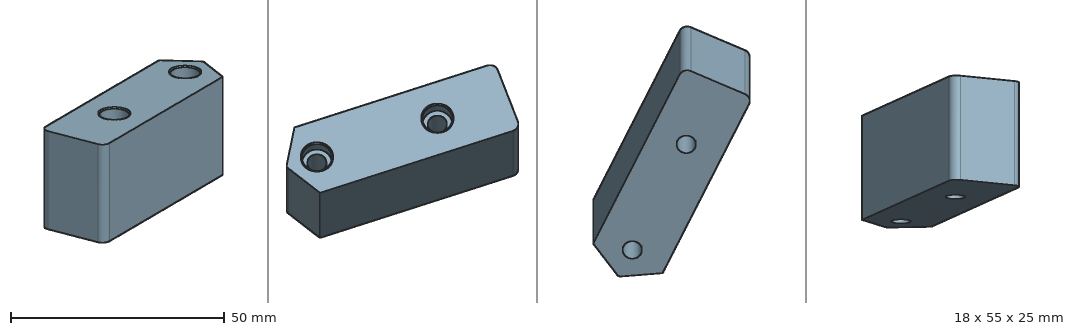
import cadquery as cq
import math

width = 18.0
length = 55.0
height = 25.0
corner_radius = 2.0

slope_angle = 30.0
tip_radius = 1.0

hole_diameter = 4.5
counterbore_diameter = 7.0
mouth_diameter = 7.65
counterbore_depth = 3.35
mouth_chamfer = (mouth_diameter - counterbore_diameter) / 2
hole_count = 2
hole_pitch = 30.0
first_hole_from_tip = 7.5

half_width = width / 2
front_y = -length / 2
tip_y = length / 2
slope = math.radians(slope_angle)

apex_y = tip_y + tip_radius * (1 / math.cos(slope) - 1)
shoulder_y = apex_y - half_width * math.tan(slope)


def make_block():
    block = (
        cq.Workplane("XY")
        .moveTo(-half_width, front_y)
        .lineTo(half_width, front_y)
        .lineTo(half_width, shoulder_y)
        .lineTo(0, apex_y)
        .lineTo(-half_width, shoulder_y)
        .close()
        .extrude(height)
    )
    block = block.faces("<Y").edges("|Z").fillet(corner_radius)
    return block.edges("|Z").edges(">Y").fillet(tip_radius)


def make_screw_hole(y):
    """Revolved cutter: through hole, counterbore and chamfered mouth."""
    hole_radius = hole_diameter / 2
    bore_radius = counterbore_diameter / 2
    return (
        cq.Workplane("XZ")
        .lineTo(hole_radius, 0)
        .lineTo(hole_radius, height - counterbore_depth)
        .lineTo(bore_radius, height - counterbore_depth)
        .lineTo(bore_radius, height - mouth_chamfer)
        .lineTo(mouth_diameter / 2, height)
        .lineTo(0, height)
        .close()
        .revolve(360, (0, 0), (0, 1))
        .translate((0, y, 0))
    )


result = make_block()
for index in range(hole_count):
    hole_y = tip_y - first_hole_from_tip - index * hole_pitch
    result = result.cut(make_screw_hole(hole_y))